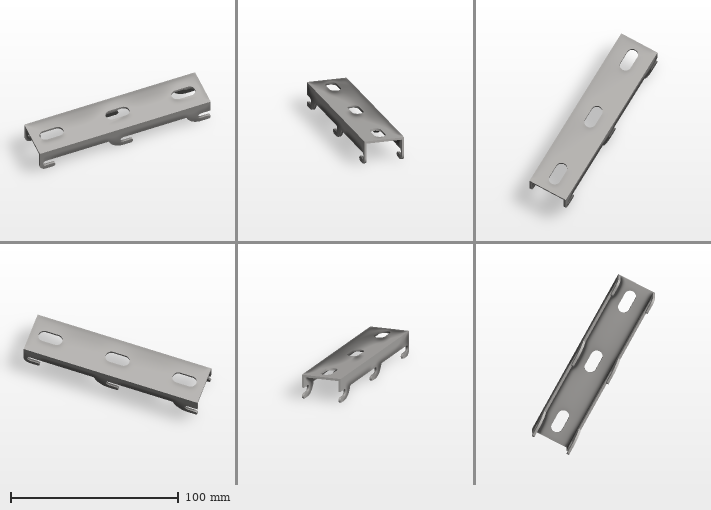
import cadquery as cq
import math

length = 110.0
width = 25.0
height = 15.0
sheet = 1.4
arm_thickness = 3.0
gap = 4.0
wall_bottom = arm_thickness + gap

end_hook_length = 10.0
hook_pitch = (length - end_hook_length) / 2
gap_centre = 6.0
heel_radius = 10.0
end_heel_radius = end_hook_length - gap_centre

slot_length = 15.0
slot_width = 7.0
slot_pitch = 42.5

y_max = length / 2


def hook(tip_y, radius):
    """Hook whose rounded arm joins a heel curve tangent to its underside, spanning the full width."""
    tip_radius = arm_thickness / 2
    root_y = tip_y - gap_centre
    top = min(radius, wall_bottom)
    heel_y = root_y - math.sqrt(radius**2 - (radius - top) ** 2)
    half_angle = math.acos((radius - top) / radius) / 2
    heel_mid = (root_y - radius * math.sin(half_angle), radius * (1 - math.cos(half_angle)))
    profile = (
        cq.Workplane("YZ")
        .moveTo(tip_y - tip_radius, 0)
        .lineTo(root_y, 0)
        .threePointArc(heel_mid, (heel_y, top))
    )
    if top < wall_bottom:
        profile = profile.lineTo(heel_y, wall_bottom)
    profile = (
        profile.lineTo(root_y, wall_bottom)
        .threePointArc((root_y - gap / 2, arm_thickness + gap / 2), (root_y, arm_thickness))
        .lineTo(tip_y - tip_radius, arm_thickness)
        .threePointArc((tip_y, tip_radius), (tip_y - tip_radius, 0))
        .close()
    )
    return profile.extrude(width / 2, both=True)


body = cq.Workplane("XY").box(
    width, length, height - wall_bottom, centered=(True, True, False)
).translate((0, 0, wall_bottom))
for index, radius in enumerate((heel_radius, heel_radius, end_heel_radius)):
    body = body.union(hook(y_max - index * hook_pitch, radius))

channel_space = cq.Workplane("XY").box(
    width - 2 * sheet, length, height - sheet, centered=(True, True, False)
)
body = body.cut(channel_space)

slots = (
    cq.Workplane("XY")
    .workplane(offset=height - sheet)
    .pushPoints([(0, step * slot_pitch) for step in (-1, 0, 1)])
    .slot2D(slot_length, slot_width, 90)
    .extrude(sheet)
)
result = body.cut(slots)